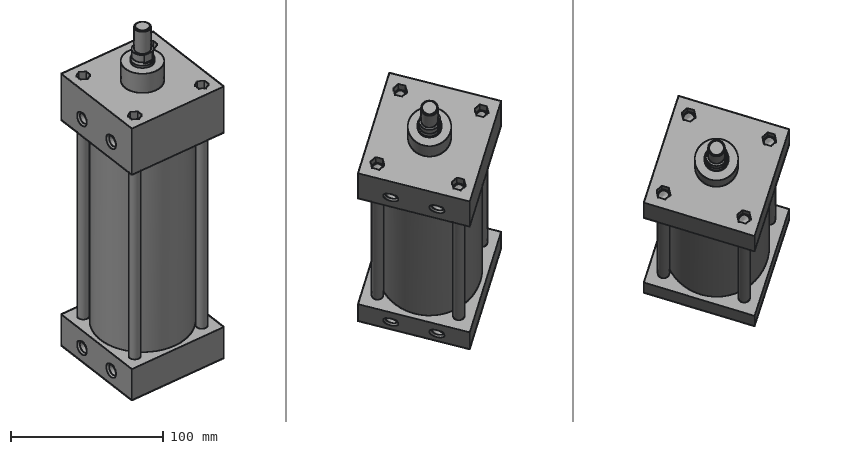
import cadquery as cq
import math

TOTAL_HEIGHT = 266.7
BASE_HEIGHT = 25.5
HEAD_HEIGHT = 38.0
BOSS_HEIGHT = 15.7
ROD_LENGTH = 28.5
ROD_BOTTOM = TOTAL_HEIGHT - ROD_LENGTH
HEAD_TOP = ROD_BOTTOM - BOSS_HEIGHT
HEAD_BOTTOM = HEAD_TOP - HEAD_HEIGHT
BARREL_LENGTH = HEAD_BOTTOM - BASE_HEIGHT

CAP_SIDE = 76.3
BARREL_DIAMETER = 69.5
BOSS_DIAMETER = 28.5
TIE_ROD_DIAMETER = 8.0
TIE_ROD_SPACING = 55.5

DRILL_POINT_ANGLE = 118.0
SOCKET_SIDES = 6
SOCKET_WIDTH = 8.3
SOCKET_DEPTH = 8.0
SOCKET_POINT_DIAMETER = 7.2

SIDE_HOLE_DIAMETER = 7.7
SIDE_HOLE_MOUTH = 10.5
SIDE_HOLE_DEPTH = 12.0
SIDE_HOLE_SPACING = 31.5
HEAD_SIDE_HOLE_DROP = 24.0
BASE_SIDE_HOLE_Z = 11.2

ROD_DIAMETER = 16.0
COLLAR_HEIGHT = 2.0
SHOULDER_HEIGHT = 2.1
WRENCH_DIAMETER = 14.5
WRENCH_WIDTH = 12.8
WRENCH_LENGTH = 6.0
FLAT_OVERRUN = 0.8
STUD_DIAMETER = 11.2
STUD_CHAMFER = 0.8


def cylinder(diameter, bottom, height):
    """Upright cylinder on the Z axis."""
    return cq.Workplane("XY", origin=(0, 0, bottom)).circle(diameter / 2).extrude(height)


def cap(bottom, height):
    """Square end cap centred on the Z axis."""
    return cq.Workplane("XY", origin=(0, 0, bottom)).rect(CAP_SIDE, CAP_SIDE).extrude(height)


def point_depth(diameter):
    """Depth of the cone that a drill of this diameter leaves."""
    return diameter / 2 / math.tan(math.radians(DRILL_POINT_ANGLE / 2))


def socket_cutter():
    """Hexagon socket opening at the origin and running down -Z, corners on the X axis."""
    corner_diameter = SOCKET_WIDTH / math.cos(math.pi / SOCKET_SIDES)
    hexagon = cq.Workplane("XY").polygon(SOCKET_SIDES, corner_diameter).extrude(-SOCKET_DEPTH)
    point_profile = [
        (0, 0),
        (SOCKET_POINT_DIAMETER / 2, 0),
        (SOCKET_POINT_DIAMETER / 2, -SOCKET_DEPTH),
        (0, -SOCKET_DEPTH - point_depth(SOCKET_POINT_DIAMETER)),
    ]
    return hexagon.union(cq.Workplane("XZ").polyline(point_profile).close().revolve())


def side_hole_cutter():
    """Drilled hole opening at the origin and running along +Y."""
    radius = SIDE_HOLE_DIAMETER / 2
    mouth_radius = SIDE_HOLE_MOUTH / 2
    profile = [
        (0, 0),
        (mouth_radius, 0),
        (radius, mouth_radius - radius),
        (radius, SIDE_HOLE_DEPTH),
        (0, SIDE_HOLE_DEPTH + point_depth(SIDE_HOLE_DIAMETER)),
    ]
    return cq.Workplane("XY").polyline(profile).close().revolve(360, (0, 0), (0, 1))


def make_housing():
    """End caps, barrel, tie rods and boss, with the sockets and side holes."""
    housing = (
        cap(0, BASE_HEIGHT)
        .union(cap(HEAD_BOTTOM, HEAD_HEIGHT))
        .union(cylinder(BARREL_DIAMETER, BASE_HEIGHT, BARREL_LENGTH))
        .union(cylinder(BOSS_DIAMETER, HEAD_TOP, BOSS_HEIGHT))
    )

    tie_rod = cylinder(TIE_ROD_DIAMETER, BASE_HEIGHT, BARREL_LENGTH)
    socket = socket_cutter()
    for x_side in (-1, 1):
        for y_side in (-1, 1):
            x = x_side * TIE_ROD_SPACING / 2
            y = y_side * TIE_ROD_SPACING / 2
            housing = housing.union(tie_rod.translate((x, y, 0)))
            housing = housing.cut(socket.translate((x, y, HEAD_TOP)))

    side_hole = side_hole_cutter()
    for z in (BASE_SIDE_HOLE_Z, HEAD_TOP - HEAD_SIDE_HOLE_DROP):
        for x in (-SIDE_HOLE_SPACING / 2, SIDE_HOLE_SPACING / 2):
            housing = housing.cut(side_hole.translate((x, -CAP_SIDE / 2, z)))
    return housing


def make_rod():
    """Piston rod end: collar, tapered shoulder, wrench flats and stud."""
    shoulder_bottom = ROD_BOTTOM + COLLAR_HEIGHT
    wrench_bottom = shoulder_bottom + SHOULDER_HEIGHT
    stud_bottom = wrench_bottom + WRENCH_LENGTH

    collar = cylinder(ROD_DIAMETER, ROD_BOTTOM, COLLAR_HEIGHT)
    shoulder = (
        cq.Workplane("XY", origin=(0, 0, shoulder_bottom))
        .circle(ROD_DIAMETER / 2)
        .workplane(offset=SHOULDER_HEIGHT)
        .circle(WRENCH_DIAMETER / 2)
        .loft()
    )
    wrench_section = cylinder(WRENCH_DIAMETER, wrench_bottom, WRENCH_LENGTH)
    stud = (
        cylinder(STUD_DIAMETER, stud_bottom, TOTAL_HEIGHT - stud_bottom)
        .faces(">Z")
        .chamfer(STUD_CHAMFER)
    )
    rod = collar.union(shoulder).union(wrench_section).union(stud)

    flat_depth = (ROD_DIAMETER - WRENCH_WIDTH) / 2
    flat_cutter = cq.Workplane("XY", origin=(0, 0, wrench_bottom - FLAT_OVERRUN)).box(
        flat_depth, ROD_DIAMETER, WRENCH_LENGTH + FLAT_OVERRUN, centered=(True, True, False)
    )
    for side in (-1, 1):
        rod = rod.cut(flat_cutter.translate((side * (WRENCH_WIDTH + flat_depth) / 2, 0, 0)))
    return rod


housing = make_housing()
rod = make_rod()

result = cq.Compound.makeCompound([housing.val(), rod.val()])